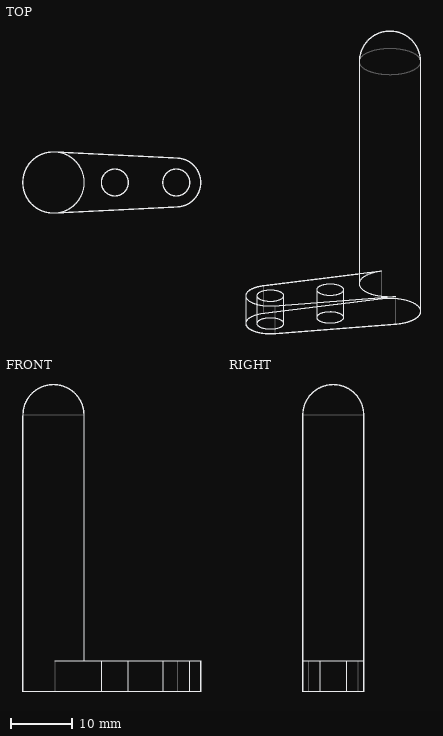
import cadquery as cq
import math

total_height = 50.0
post_diameter = 10.0
arm_thickness = 5.0
arm_end_radius = 4.0
hole_diameter = 4.35
hole_spacing = 10.0
hole_count = 2

post_radius = post_diameter / 2
cylinder_height = total_height - post_radius
hole_positions = [(hole_spacing * (i + 1), 0) for i in range(hole_count)]
arm_length = hole_spacing * hole_count


def make_post():
    """Upright round post with a hemispherical tip."""
    cylinder = cq.Workplane("XY").circle(post_radius).extrude(cylinder_height)
    tip = cq.Workplane("XY").sphere(post_radius).translate((0, 0, cylinder_height))
    return cylinder.union(tip)


def make_arm():
    """Tapered foot whose straight sides are tangent to the post and the round end."""
    tangent_angle = math.acos((post_radius - arm_end_radius) / arm_length)
    cosine = math.cos(tangent_angle)
    sine = math.sin(tangent_angle)
    post_x = post_radius * cosine
    post_y = post_radius * sine
    end_x = arm_length + arm_end_radius * cosine
    end_y = arm_end_radius * sine
    return (
        cq.Workplane("XY")
        .moveTo(post_x, -post_y)
        .lineTo(end_x, -end_y)
        .threePointArc((arm_length + arm_end_radius, 0), (end_x, end_y))
        .lineTo(post_x, post_y)
        .threePointArc((-post_radius, 0), (post_x, -post_y))
        .close()
        .extrude(arm_thickness)
    )


def make_holes():
    """Through holes along the arm, the last one concentric with its round end."""
    return (
        cq.Workplane("XY")
        .pushPoints(hole_positions)
        .circle(hole_diameter / 2)
        .extrude(arm_thickness)
    )


result = make_post().union(make_arm()).cut(make_holes())